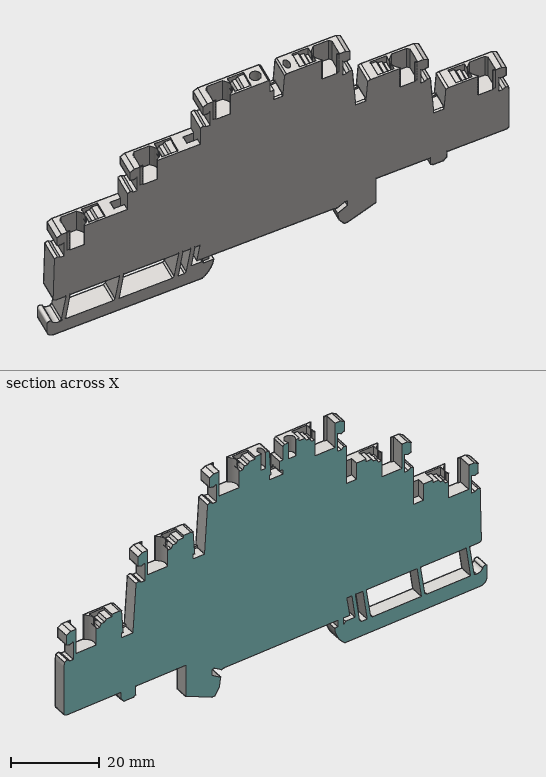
import cadquery as cq


length = 115.6
height = 64.1
thickness = 5.1
rear_y = length / 2
front_y = -length / 2

level_count = 3
level_rise = 14.0
rear_pitch = 19.5
front_pitch = 18.3
rear_tip_y = rear_y - 0.7
front_tip_y = front_y + 2.4

head_bevel_length = 1.2
head_bevel_height = 0.7
lip_depth = 3.5
neck_inset = 1.8
neck_bottom = 8.3
shoulder_drop = 8.1
shoulder_out = 0.6
groove_depth = 0.3

slot_start = 15.1
slot_end = 18.1
slot_taper = 0.5
slot_bevel_length = 0.7
slot_bevel_height = 0.2
slot_depth = 7.3
crown_slot_start = 16.4
crown_slot_end = 20.0
crown_slot_depth = 7.7
crown_step_drop = 4.3
slot_recess_width = 3.8
slot_recess_depth = 0.6

body_bottom = 12.6
rail_seat_z = 7.3
lug_bottom = 9.7
lower_corner = 0.8
side_top_drop = 9.2
front_side_y = front_tip_y - 0.9

rail_seat = [
    (-19.5, body_bottom),
    (-20.3, rail_seat_z),
    (14.0, rail_seat_z),
    (14.7, 7.0),
    (16.6, 8.3),
]
hook = [
    (17.3, 8.2),
    (17.3, 6.7),
    (14.9, 5.1),
    (15.3, 2.4),
    (16.5, 0.3),
    (17.3, 0.3),
    (24.5, 3.7),
    (24.5, body_bottom),
]
locating_lug = [
    (38.1, body_bottom),
    (38.1, 10.2),
    (38.7, lug_bottom),
    (41.4, lug_bottom),
    (42.2, 10.6),
    (42.3, body_bottom),
]

hook_recess_size = (1.2, 2.5, 2.7)
hook_recess_y = 17.2
hook_recess_z = 6.9

wire_offset = 2.7
wire_length = 5.0
wire_nose = 0.7
wire_depth = 6.9
wire_wall = 0.6
wire_thin_wall = 0.2
wire_window_margin = 0.7
wire_corner = 0.6
clamp_offset = 8.3
clamp_length = 4.0
clamp_width = 4.0
clamp_groove_end = 0.7
clamp_shelf_start = 2.5
clamp_slope = 0.5
clamp_shelf_depth = 0.7
clamp_groove_depth = 2.3
clamp_ledge_depth = 1.4

test_hole_diameter = 2.7
test_hole_y = -4.5
marker_hole_y = 3.4
marker_hole_size = (2.4, 1.5)
bridge_hole_size = (2.0, 2.7)
top_hole_depth = 4.6
head_hole_diameter = 1.3
head_hole_inset = 1.3
head_hole_drop = 2.2
head_hole_depth = 1.2

bar_top = 4.3
bar_start_y = -19.0
bar_end_y = -54.0
bar_corner = 1.8
bar_dip = (-54.9, 4.0)
bar_heel = [(-22.7, bar_top), (-22.2, 6.2), (-19.1, 6.2), (-18.6, 5.5), (-16.1, 5.5)]
bar_nose = (-16.8, 2.9)
nub_radius = 0.64
nub_z = 5.0
strut_width = 1.0
strut_lean = 1.2
strut_chamfer = 0.5
strut_tops = (-20.8, -23.8, -38.6, -52.0)
link_y = -17.8
link_width = 1.6
link_thickness = 3.9
link_height = 2.3
link_top = 7.4


def plate(outline, width=thickness):
    """Extrude a closed YZ outline across the thickness, centred on X = 0."""
    return outline.close().extrude(width / 2, both=True)


def polygon(points, width=thickness):
    return plate(cq.Workplane("YZ").polyline(points), width)


def level_top(level):
    return height - (level_count - 1 - level) * level_rise


def rear_tip(level):
    return rear_tip_y - level * rear_pitch


def front_tip(level):
    return front_tip_y + level * front_pitch


def head_points(tip, top, out):
    """One head, from shoulder up to the top; out is the sign of Y pointing outwards."""
    local = [
        (shoulder_out, -shoulder_drop),
        (-groove_depth / 2, -shoulder_drop + groove_depth),
        (-neck_inset / 2, -neck_bottom),
        (-neck_inset, -neck_bottom),
        (-neck_inset, -lip_depth),
        (-neck_inset / 2, -lip_depth - groove_depth),
        (0, -lip_depth),
        (0, -head_bevel_height),
        (-head_bevel_length, 0),
    ]
    return [(tip + out * y, top + z) for y, z in local]


def level_slot_points(level):
    """The tapered slot, with a bevelled mouth, before the riser of the next rear level."""
    tip, top = rear_tip(level), level_top(level)
    floor_z = top - slot_depth
    return [
        (tip - slot_start + slot_bevel_length, top),
        (tip - slot_start, top - slot_bevel_height),
        (tip - slot_start - slot_taper, floor_z),
        (tip - slot_end, floor_z),
    ]


def crown_slot_points():
    """The slot in the top level, with a chamfered mouth and one stepped wall."""
    start = rear_tip(level_count - 1) - crown_slot_start
    end = rear_tip(level_count - 1) - crown_slot_end
    step_z = height - crown_step_drop
    floor_z = height - crown_slot_depth
    return [
        (start + slot_taper, height),
        (start, height - slot_taper),
        (start - slot_taper, floor_z),
        (end + 2 * slot_taper, floor_z),
        (end + 2 * slot_taper, step_z),
        (end, step_z),
        (end, height - slot_taper),
        (end - slot_taper, height),
    ]


def make_housing():
    points = [(rear_y, body_bottom), (rear_y, level_top(0) - side_top_drop)]
    for level in range(level_count):
        points += head_points(rear_tip(level), level_top(level), 1)
        if level < level_count - 1:
            points += level_slot_points(level)
    points += crown_slot_points()
    for level in reversed(range(level_count)):
        points += reversed(head_points(front_tip(level), level_top(level), -1))
        if level > 0:
            points += [(front_tip(level) - shoulder_out, level_top(level - 1))]
    points += [(front_side_y, body_bottom)]
    points += rail_seat + hook + locating_lug
    housing = polygon(points)
    for side_y in (rear_y, front_side_y):
        lower_edge = cq.selectors.NearestToPointSelector((0, side_y, body_bottom))
        housing = housing.edges(lower_edge).fillet(lower_corner)
    return housing


def make_spring_foot():
    bar = plate(
        cq.Workplane("YZ")
        .moveTo(bar_start_y, 0)
        .lineTo(front_y + bar_corner, 0)
        .radiusArc((front_y, bar_corner), bar_corner)
        .lineTo(front_y, nub_z)
        .radiusArc((front_y + 2 * nub_radius, nub_z), nub_radius)
        .threePointArc(bar_dip, (bar_end_y, bar_top))
        .polyline(bar_heel, includeCurrent=True)
        .threePointArc(bar_nose, (bar_start_y, 0))
    )
    for top_y in strut_tops:
        bottom_y = top_y - strut_lean
        bar = bar.union(polygon([
            (top_y, body_bottom),
            (top_y - strut_width, body_bottom),
            (bottom_y - strut_width, bar_top + strut_chamfer),
            (bottom_y - strut_width - strut_chamfer, bar_top),
            (bottom_y, bar_top),
        ]))
    link = cq.Workplane("XY").box(link_thickness, link_width, link_height)
    return bar.union(link.translate((0, link_y, link_top - link_height / 2)))


def wire_pocket(tip, top, inward):
    """Wire entry with a rounded nose towards the clamp and a window through the +X wall."""
    near_x = -thickness / 2 + wire_wall
    far_x = thickness / 2 - wire_thin_wall
    start = tip + inward * wire_offset
    end = start + inward * wire_length
    nose = end + inward * wire_nose
    pocket = (
        cq.Workplane("XY", origin=(0, 0, top))
        .moveTo(far_x, start)
        .lineTo(near_x + wire_corner, start)
        .lineTo(near_x, start + inward * wire_corner)
        .lineTo(near_x, end - inward * wire_corner)
        .lineTo(near_x + wire_corner, end)
        .threePointArc((0, nose), (far_x - wire_corner, end))
        .lineTo(far_x, end - inward * wire_corner)
        .close()
        .extrude(-wire_depth)
    )
    window_length = wire_length - 2 * wire_window_margin
    window = cq.Workplane("XY").box(thickness / 2, window_length, wire_depth)
    window_center = (thickness / 4, (start + end) / 2, top - wire_depth / 2)
    return pocket.union(window.translate(window_center))


def clamp_pocket(tip, top, inward):
    """Clamp recess: a groove on the wire side that climbs over a ledge to a shallow shelf."""
    local = [
        (0, 0),
        (0, clamp_groove_depth),
        (clamp_groove_end, clamp_groove_depth),
        (clamp_groove_end + clamp_slope, clamp_ledge_depth),
        (clamp_shelf_start - clamp_slope, clamp_ledge_depth),
        (clamp_shelf_start, clamp_shelf_depth),
        (clamp_length, clamp_shelf_depth),
        (clamp_length, 0),
    ]
    start = tip + inward * clamp_offset
    return polygon([(start + inward * y, top - z) for y, z in local], clamp_width)


def head_hole(tip, top, inward):
    """Blind hole in the -X face of a head."""
    return (
        cq.Workplane("YZ", origin=(-thickness / 2, 0, 0))
        .center(tip + inward * head_hole_inset, top - head_hole_drop)
        .circle(head_hole_diameter / 2)
        .extrude(head_hole_depth)
    )


def slot_recess(start, end, floor_z):
    """Central deepening of a slot floor, leaving a thin rim along both sides."""
    size_y = start - end
    recess = cq.Workplane("XY").box(slot_recess_width, size_y, 2 * slot_recess_depth)
    return recess.translate((0, (start + end) / 2, floor_z))


def bridge_hole(level):
    """Rectangular hole in a front level, against the riser of the level above."""
    size_x, size_y = bridge_hole_size
    center_y = front_tip(level + 1) - shoulder_out - size_y / 2
    hole = cq.Workplane("XY").box(size_x, size_y, 2 * top_hole_depth)
    return hole.translate((0, center_y, level_top(level)))


result = make_housing().union(make_spring_foot())

for level in range(level_count):
    top = level_top(level)
    for tip, inward in ((rear_tip(level), -1), (front_tip(level), 1)):
        result = result.cut(wire_pocket(tip, top, inward))
        result = result.cut(clamp_pocket(tip, top, inward))
        result = result.cut(head_hole(tip, top, inward))

for level in range(level_count - 1):
    tip = rear_tip(level)
    floor_z = level_top(level) - slot_depth
    result = result.cut(slot_recess(tip - slot_start, tip - slot_end, floor_z))
    result = result.cut(bridge_hole(level))

crown_tip = rear_tip(level_count - 1)
result = result.cut(
    slot_recess(crown_tip - crown_slot_start, crown_tip - crown_slot_end, height - crown_slot_depth)
)

hook_recess = cq.Workplane("XY").box(*hook_recess_size)
result = result.cut(hook_recess.translate((-thickness / 2, hook_recess_y, hook_recess_z)))

top_plane = cq.Workplane("XY", origin=(0, 0, height))
result = result.cut(
    top_plane.center(0, test_hole_y).circle(test_hole_diameter / 2).extrude(-top_hole_depth)
)
result = result.cut(
    top_plane.center(0, marker_hole_y)
    .ellipse(marker_hole_size[0] / 2, marker_hole_size[1] / 2)
    .extrude(-top_hole_depth)
)